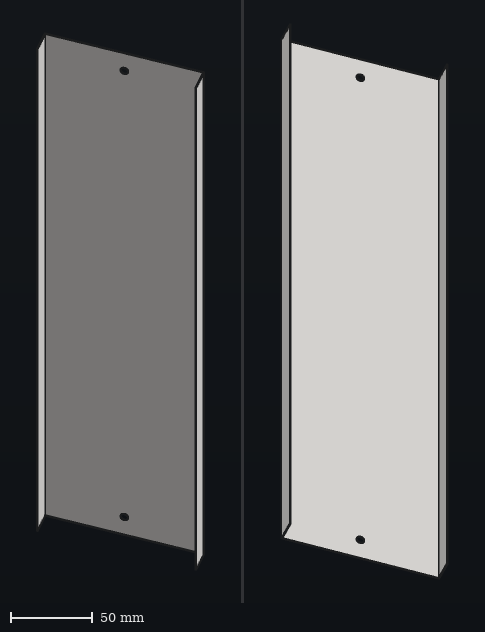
import cadquery as cq

width = 103.5
depth = 14.8
height = 410.0
sheet = 0.6

hole_diameter = 5.0
hole_end_distance = 15.0
hole_spacing = height - 2 * hole_end_distance

block = cq.Workplane("XY").box(width, depth, height)
inner_space = cq.Workplane("XY").box(width - 2 * sheet, depth, height).translate((0, -sheet, 0))
channel = block.cut(inner_space)

holes = (
    cq.Workplane("XZ", origin=(0, depth / 2, 0))
    .rarray(4, hole_spacing, 1, 2)
    .circle(hole_diameter / 2)
    .extrude(depth)
)

result = channel.cut(holes)